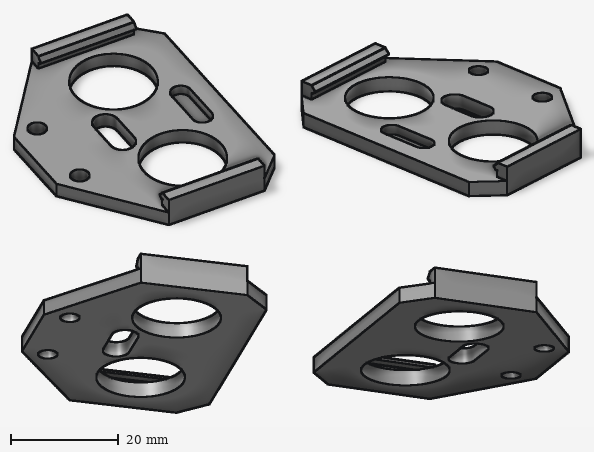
import cadquery as cq

plate_width = 51.5
plate_thickness = 3.0
front_width = 16.0
front_taper_length = 13.95
rail_length = 20.5
back_chamfer = 5.05

total_height = 6.0
rail_width = 2.5
lip_reach = 0.95
lip_top_step = 0.1
lip_ledge = 0.3
lip_ledge_height = 1.3

eye_diameter = 16.5
eye_spacing = 26.0
screw_diameter = 3.6
screw_spacing = front_width
screw_edge_distance = 5.0
slot_length = 11.4
slot_width = 5.0
slot_offset = 7.3
pocket_length = 12.0
pocket_width = 4.0
pocket_depth = 2.0
pocket_edge_distance = 6.0

half_width = plate_width / 2
rail_front_y = -rail_length / 2
rail_back_y = rail_length / 2
front_y = rail_front_y - front_taper_length
back_y = rail_back_y + back_chamfer


def make_plate():
    right_side = [
        (front_width / 2, front_y),
        (half_width, rail_front_y),
        (half_width, rail_back_y),
        (half_width - back_chamfer, back_y),
    ]
    left_side = [(-x, y) for x, y in reversed(right_side)]
    return cq.Workplane("XY").polyline(right_side + left_side).close().extrude(plate_thickness)


def make_left_rail():
    """Rail with an inward lip whose upper and lower faces slope at 45 degrees."""
    inner_x = -half_width + rail_width
    tip_x = inner_x + lip_reach
    lip_top_z = total_height - lip_top_step
    tip_z = lip_top_z - lip_reach
    ledge_z = plate_thickness + lip_ledge_height
    profile = [
        (-half_width, plate_thickness),
        (inner_x, plate_thickness),
        (inner_x, ledge_z),
        (inner_x + lip_ledge, ledge_z),
        (tip_x, tip_z),
        (inner_x, lip_top_z),
        (inner_x, total_height),
        (-half_width, total_height),
    ]
    return cq.Workplane("XZ").polyline(profile).close().extrude(rail_length / 2, both=True)


def round_hole_pair(diameter, spacing, y):
    centres = [(-spacing / 2, y), (spacing / 2, y)]
    return cq.Workplane("XY").pushPoints(centres).circle(diameter / 2).extrude(plate_thickness)


def slot_cutter(length, width, y, depth):
    """Round-ended slot reaching down from the top face of the plate."""
    top_plane = cq.Workplane("XY").workplane(offset=plate_thickness)
    return top_plane.center(0, y).slot2D(length, width).extrude(-depth)


plate = (
    make_plate()
    .cut(round_hole_pair(eye_diameter, eye_spacing, 0))
    .cut(round_hole_pair(screw_diameter, screw_spacing, front_y + screw_edge_distance))
    .cut(slot_cutter(slot_length, slot_width, -slot_offset, plate_thickness))
    .cut(slot_cutter(pocket_length, pocket_width, back_y - pocket_edge_distance, pocket_depth))
)

left_rail = make_left_rail()
right_rail = left_rail.mirror("YZ")

result = plate.union(left_rail).union(right_rail)